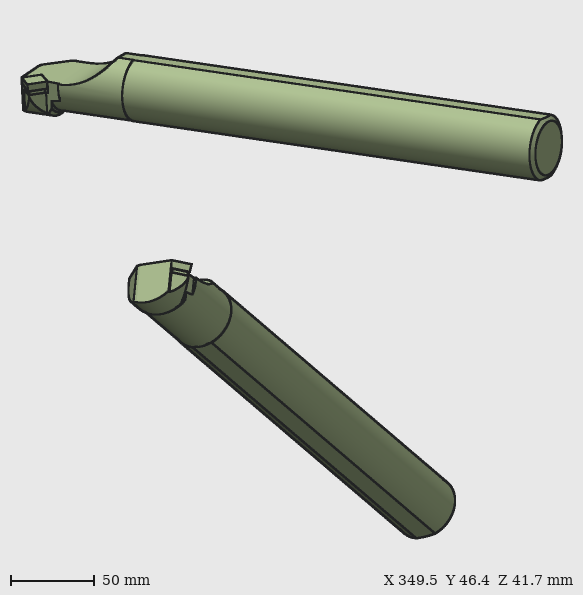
import cadquery as cq
import math

bar_length = 349.5
shank_radius = 20.0
flat_height = 19.0
shank_start = 70.0
end_chamfer_length = 3.5
end_chamfer_depth = 2.0

neck_step = 0.17
neck_radius = shank_radius - neck_step
head_radius = 22.7
head_offset = shank_radius - head_radius
head_length = 20.0
head_chamfer = 2.5

rake_tilt = 6.0
rake_height = 3.32
rake_flat_length = 26.2
rake_radius = 42.0
rake_sweep = math.radians(65)

insert_side = 12.5
insert_thickness = 5.0
insert_relief = 7.0
insert_reach = 26.5
insert_half_diagonal = insert_side / math.sqrt(2)
insert_x = insert_half_diagonal
insert_y = insert_half_diagonal - insert_reach

corner_bevel_x = 0.7
corner_bevel_y = 3.5
side_bevel_y = 6.3
side_bevel_length = 15.5
side_clearance_y = -18.5
seat_inset = 1.5
shim_inset = 2.0
shim_depth = 7.5

clear = 70.0


def in_rake_frame(shape):
    """Move a shape from the rake face's own frame into the bar's frame."""
    return shape.rotate((0, 0, 0), (1, 0, 0), rake_tilt).translate((0, 0, rake_height))


def rod(radius, start, end, offset=0.0):
    return cq.Workplane("YZ", origin=(start, offset, 0)).circle(radius).extrude(end - start)


def square_prism(half_diagonal, depth, taper=0.0):
    """Square with corners along X and Y, going down from the rake face."""
    prism = (
        cq.Workplane("XY")
        .transformed(rotate=(0, 0, 45))
        .rect(half_diagonal * math.sqrt(2), half_diagonal * math.sqrt(2))
        .extrude(-depth, taper=taper)
    )
    return prism.translate((insert_x, insert_y, 0))


def above_flat():
    """Material removed above the top flat, along the whole bar."""
    return cq.Workplane("XY", origin=(bar_length / 2, 0, flat_height)).rect(bar_length, clear).extrude(clear)


def make_bar():
    shank = rod(shank_radius, shank_start, bar_length)
    shank = shank.faces(">X").chamfer(end_chamfer_depth, end_chamfer_length)
    shank = shank.cut(above_flat()).cut(above_flat().mirror("XY"))
    neck = rod(neck_radius, 0, shank_start).cut(above_flat())
    head = rod(head_radius, 0, head_length, head_offset).faces(">X").chamfer(head_chamfer)
    return shank.union(neck).union(head)


def rake_cutter():
    def curve_point(angle):
        return (rake_flat_length + rake_radius * math.sin(angle), rake_radius * (1 - math.cos(angle)))

    curve_end = curve_point(rake_sweep)
    cutter = (
        cq.Workplane("XZ")
        .moveTo(-clear, 0)
        .lineTo(rake_flat_length, 0)
        .threePointArc(curve_point(rake_sweep / 2), curve_end)
        .lineTo(curve_end[0], clear)
        .lineTo(-clear, clear)
        .close()
        .extrude(clear, both=True)
    )
    return in_rake_frame(cutter)


def head_trimmer():
    """Everything outside the head outline, ahead of the end of the flat rake face."""
    half_diagonal = insert_half_diagonal - seat_inset
    outline = (
        cq.Workplane("XY")
        .polyline([
            (corner_bevel_x, side_bevel_y),
            (0, corner_bevel_y),
            (0, insert_y),
            (seat_inset, insert_y),
            (insert_x, insert_y - half_diagonal),
            (insert_x + half_diagonal, insert_y),
            (rake_flat_length, side_clearance_y),
            (rake_flat_length, clear),
            (side_bevel_length, clear),
            (side_bevel_length, shank_radius),
        ])
        .close()
        .extrude(clear, both=True)
    )
    block = cq.Workplane("XY").box(2 * rake_flat_length, 2 * clear, 2 * clear)
    return in_rake_frame(block.cut(outline))


def shim_trimmer():
    """Relief that sets the seat block back under the insert's outer edges."""
    band = square_prism(insert_half_diagonal, shim_depth)
    core = square_prism(insert_half_diagonal - shim_inset, shim_depth)
    outer_half = cq.Workplane("XY").box(clear, clear, clear).translate((insert_x, insert_y - clear / 2, 0))
    return in_rake_frame(band.cut(core).intersect(outer_half))


def make_insert():
    return in_rake_frame(square_prism(insert_half_diagonal, insert_thickness, insert_relief))


insert = make_insert()
holder = make_bar().cut(rake_cutter()).cut(head_trimmer()).cut(shim_trimmer()).cut(insert)

result = cq.Compound.makeCompound([holder.val(), insert.val()])